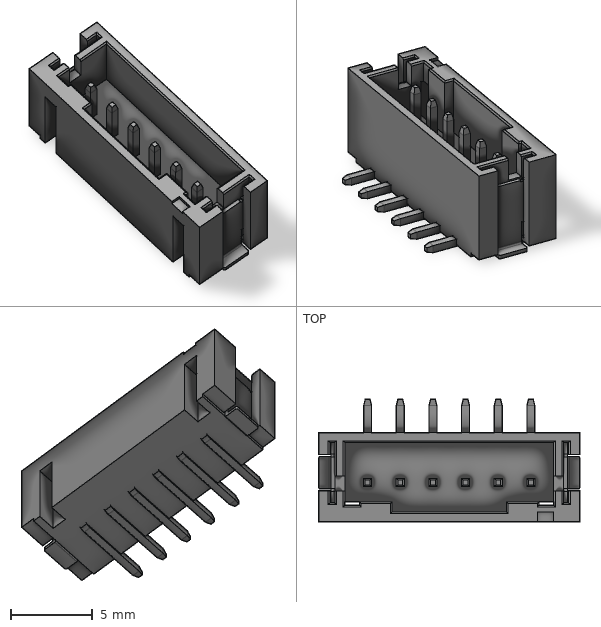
import cadquery as cq

pin_count = 6
pin_pitch = 2.0
housing_length = 16.0
housing_depth = 5.47
housing_top = 6.2
housing_bottom = 0.1
edge_bevel = 0.1

wire = 0.5
wire_tip = 0.3
tip_length = 0.4
pin_y = 2.41
pin_top = 5.5
tail_end_y = 7.51
bend_radius = wire

chamber_length = 12.8
chamber_floor = 2.5
chamber_front_y = 1.22
chamber_back_y = 4.86
key_length = 7.0
key_front_y = 0.6
latch_width = 0.9
latch_front_y = 1.02

groove_width = 1.0
groove_outer_x = 6.5
groove_top = 4.82

mark_width = 1.0
mark_depth = 0.6
mark_height = 0.2
mark_outer_x = chamber_length / 2

clip_y = 3.01
clip_thickness = 0.25
clip_inner_x = 7.01
clip_top = 4.62
wing_bottom = 1.7
wing_width = 3.68
foot_width = 2.0
tongue_width = 1.92
relief_outer_width = 2.28
relief_depth = 0.1
clip_inner_radius = 0.1
clip_heel_radius = 0.08
foot_corner_radius = 0.12

slot_outer_x = 7.32
slot_width = 3.7
slot_floor = 0.6
window_width = 2.2
foot_clearance_top = 0.35
notch_front_y = 1.89
notch_back_y = 2.8
notch_floor = 4.72

half_length = housing_length / 2
half_chamber = chamber_length / 2
clip_outer_x = clip_inner_x + clip_thickness
first_pin_x = -pin_pitch * (pin_count - 1) / 2
pin_xs = [first_pin_x + i * pin_pitch for i in range(pin_count)]


def box(x0, x1, y0, y1, z0, z1):
    """Block between two corners."""
    return cq.Workplane("XY").box(x1 - x0, y1 - y0, z1 - z0, centered=False).translate((x0, y0, z0))


def across(width):
    """Front and back Y of a width centred on the clip."""
    return clip_y - width / 2, clip_y + width / 2


def mirrored(shape):
    """Copy of a right-hand shape at the left-hand end."""
    return shape.mirror("YZ")


def make_chamber():
    """Mating chamber with a central key recess and a latch recess at each end of its front wall."""
    key_x = key_length / 2
    latch_x = half_chamber - latch_width
    right_half = [
        (key_x, key_front_y),
        (key_x, chamber_front_y),
        (latch_x, chamber_front_y),
        (latch_x, latch_front_y),
        (half_chamber, latch_front_y),
        (half_chamber, chamber_back_y),
    ]
    left_half = [(-x, y) for x, y in reversed(right_half)]
    outline = cq.Workplane("XY", origin=(0, 0, chamber_floor)).polyline(right_half + left_half).close()
    return outline.extrude(housing_top - chamber_floor)


def end_cuts():
    """Window, foot clearance, notch and groove removed at the right-hand end."""
    window = box(clip_inner_x, half_length, *across(window_width), housing_bottom, housing_top)
    foot_clearance = box(clip_inner_x, half_length, 0, housing_depth, housing_bottom, foot_clearance_top)
    notch = box(half_chamber, slot_outer_x, notch_front_y, notch_back_y, notch_floor, housing_top)
    groove = box(groove_outer_x - groove_width, groove_outer_x, 0, chamber_front_y, housing_bottom, groove_top)
    return window.union(foot_clearance).union(notch).union(groove)


def make_pin(x):
    """Vertical contact and horizontal tail joined by a round bend, both ends tapered."""
    half = wire / 2
    shoulder_z = pin_top - tip_length
    shoulder_y = tail_end_y - tip_length
    front_y = pin_y - half
    back_y = pin_y + half
    heel = bend_radius * (1 - 0.5 ** 0.5)
    bent_wire = (
        cq.Workplane("YZ")
        .moveTo(front_y, shoulder_z)
        .lineTo(front_y, bend_radius)
        .threePointArc((front_y + heel, heel), (front_y + bend_radius, 0))
        .lineTo(shoulder_y, 0)
        .lineTo(shoulder_y, wire)
        .lineTo(back_y, wire)
        .lineTo(back_y, shoulder_z)
        .close()
        .extrude(half, both=True)
    )
    contact_tip = (
        cq.Workplane("XY", origin=(0, pin_y, shoulder_z))
        .rect(wire, wire)
        .workplane(offset=tip_length)
        .rect(wire_tip, wire_tip)
        .loft()
    )
    tail_tip = (
        cq.Workplane("XZ", origin=(0, shoulder_y, half))
        .rect(wire, wire)
        .workplane(offset=-tip_length)
        .rect(wire_tip, wire_tip)
        .loft()
    )
    return bent_wire.union(contact_tip).union(tail_tip).translate((x, 0, 0))


def make_clip():
    """Right-hand solder clip: winged plate in the end wall with a foot turned outwards."""
    stem = box(clip_inner_x, clip_outer_x, *across(foot_width), 0, clip_top)
    foot = box(clip_inner_x, half_length, *across(foot_width), 0, clip_thickness)
    foot = foot.edges("|Z and >X").fillet(foot_corner_radius)
    bent_strip = stem.union(foot)
    inner_bend = cq.selectors.NearestToPointSelector((clip_outer_x, clip_y, clip_thickness))
    bent_strip = bent_strip.edges(inner_bend).fillet(clip_inner_radius)
    bent_strip = bent_strip.edges("|Y and <X and <Z").fillet(clip_heel_radius)
    wings = box(clip_inner_x, clip_outer_x, *across(wing_width), wing_bottom, clip_top)
    relief_floor = clip_top - relief_depth
    reliefs = box(clip_inner_x, clip_outer_x, *across(relief_outer_width), relief_floor, clip_top)
    reliefs = reliefs.cut(box(clip_inner_x, clip_outer_x, *across(tongue_width), relief_floor, clip_top))
    return bent_strip.union(wings).cut(reliefs)


def make_housing(pins):
    """Shrouded housing with seats for the pins and clips."""
    body = box(-half_length, half_length, 0, housing_depth, housing_bottom, housing_top)
    clip_slot = box(clip_inner_x, slot_outer_x, *across(slot_width), slot_floor, housing_top)
    body = body.cut(make_chamber()).cut(clip_slot).cut(mirrored(clip_slot))
    mouths = cq.selectors.BoxSelector(
        (edge_bevel - half_length, edge_bevel, housing_top - edge_bevel),
        (half_length - edge_bevel, housing_depth - edge_bevel, housing_top + edge_bevel),
        boundingbox=True,
    )
    body = body.edges(mouths).chamfer(edge_bevel)
    right_end = end_cuts()
    body = body.cut(right_end).cut(mirrored(right_end))
    mark = box(mark_outer_x - mark_width, mark_outer_x, 0, mark_depth, housing_top - mark_height, housing_top)
    body = body.cut(mark)
    for pin in pins:
        body = body.cut(pin)
    return body


pins = [make_pin(x) for x in pin_xs]
right_clip = make_clip()
clips = [right_clip, mirrored(right_clip)]
housing = make_housing(pins)

result = cq.Compound.makeCompound([housing.val(), *[body.val() for body in pins + clips]])